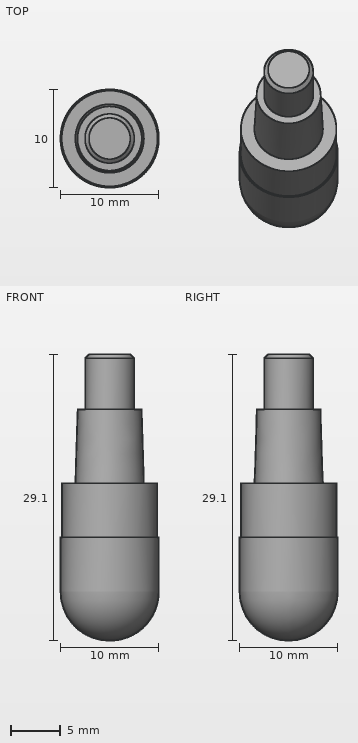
import cadquery as cq

TOTAL_LENGTH = 29.1

NOSE_RADIUS = 5.0
COLLAR_RADIUS = 4.85
COLLAR_BASE_Z = 10.5
SHOULDER_Z = 16.0

TAPER_BASE_RADIUS = 3.5
TAPER_TOP_RADIUS = 3.25
TAPER_TOP_Z = 23.5
PIN_RADIUS = 2.5
CHAMFER = 0.4


def make_nose():
    """Hemispherical nose, full-width barrel and slightly narrower collar."""
    arc_middle = NOSE_RADIUS * 0.5 ** 0.5
    return (
        cq.Workplane("XZ")
        .moveTo(0, 0)
        .threePointArc((arc_middle, NOSE_RADIUS - arc_middle), (NOSE_RADIUS, NOSE_RADIUS))
        .lineTo(NOSE_RADIUS, COLLAR_BASE_Z)
        .lineTo(COLLAR_RADIUS, COLLAR_BASE_Z)
        .lineTo(COLLAR_RADIUS, SHOULDER_Z)
        .lineTo(0, SHOULDER_Z)
        .close()
        .revolve(360, (0, 0, 0), (0, 1, 0))
    )


def make_stem():
    """Tapered shank standing on the shoulder, topped by the pin."""
    return (
        cq.Workplane("XZ")
        .moveTo(0, SHOULDER_Z)
        .lineTo(TAPER_BASE_RADIUS, SHOULDER_Z)
        .lineTo(TAPER_TOP_RADIUS, TAPER_TOP_Z)
        .lineTo(PIN_RADIUS, TAPER_TOP_Z)
        .lineTo(PIN_RADIUS, TOTAL_LENGTH - CHAMFER)
        .lineTo(PIN_RADIUS - CHAMFER, TOTAL_LENGTH)
        .lineTo(0, TOTAL_LENGTH)
        .close()
        .revolve(360, (0, 0, 0), (0, 1, 0))
    )


nose = make_nose()
stem = make_stem()

result = cq.Compound.makeCompound([nose.val(), stem.val()])